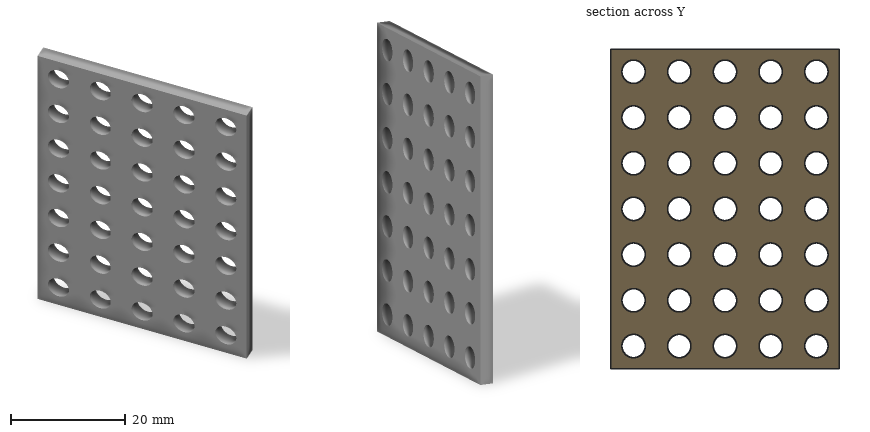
import cadquery as cq

hole_pitch = 8.0
columns = 5
rows = 7
hole_diameter = 4.0
thickness = 2.5

plate_width = columns * hole_pitch
plate_height = rows * hole_pitch


def make_plate():
    """Flat upright plate, centred on the origin, with its thickness along Y."""
    return cq.Workplane("XY").box(plate_width, thickness, plate_height)


def cut_hole_grid(plate):
    """Drill the grid of through holes from the -Y face."""
    return (
        plate.faces("<Y")
        .workplane(centerOption="CenterOfBoundBox")
        .rarray(hole_pitch, hole_pitch, columns, rows)
        .hole(hole_diameter)
    )


result = cut_hole_grid(make_plate())